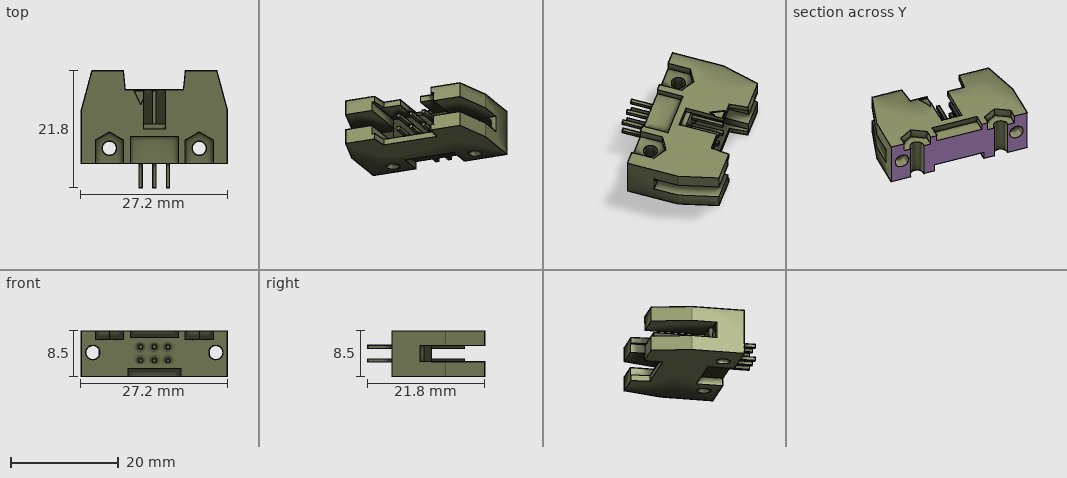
import cadquery as cq
import math

body_width = 27.2
body_length = 17.3
body_height = 8.5
half_width = body_width / 2
mid_height = body_height / 2

taper_start = 9.95
tip_outer = 11.62
tip_inner = 5.75
mouth_half_width = 5.4
mouth_floor = 13.77

cavity_half_width = 6.25
cavity_floor = 7.4
wall = 1.1

slot_height = 3.0
slot_floor = 5.25
slot_step_floor = 5.95
slot_step_half_width = 10.25

key_width = 4.06
key_floor = 6.4

mark_half_width = 1.21
mark_base = 13.5
mark_length = 2.55
mark_depth = 0.25

hole_diameter = 2.6
mount_spacing = 16.72
mount_offset = 2.85
nut_flats = 5.24
nut_depth = 1.63
nut_apex_slope = math.radians(30)
pivot_spacing = 22.86
pivot_height = 4.46

recess_length = 5.0
top_recess_width = 8.95
top_recess_depth = 1.2
bottom_recess_width = 9.85
bottom_recess_depth = 1.45

pin_size = 0.64
pin_pitch = 2.54
pin_columns = 3
pin_rows = 2
pin_tail = 4.5
pin_tip = 13.5


def block(x_range, y_range, z_range):
    """Axis-aligned box between pairs of limits."""
    size = [high - low for low, high in (x_range, y_range, z_range)]
    corner = (x_range[0], y_range[0], z_range[0])
    return cq.Workplane("XY").box(*size, centered=False).translate(corner)


def make_housing():
    right_side = [
        (half_width, 0),
        (half_width, taper_start),
        (tip_outer, body_length),
        (tip_inner, body_length),
        (mouth_half_width, mouth_floor),
    ]
    left_side = [(-x, y) for x, y in reversed(right_side)]
    return cq.Workplane("XY").polyline(right_side + left_side).close().extrude(body_height)


def make_cavity():
    return block(
        (-cavity_half_width, cavity_half_width),
        (cavity_floor, body_length),
        (wall, body_height - wall),
    )


def make_latch_slots():
    """Slot across the full width, stepping up on each side to the cavity floor."""
    right_side = [
        (half_width, body_length),
        (half_width, slot_floor),
        (slot_step_half_width, slot_floor),
        (slot_step_half_width, slot_step_floor),
        (cavity_half_width, slot_step_floor),
        (cavity_half_width, cavity_floor),
    ]
    left_side = [(-x, y) for x, y in reversed(right_side)]
    return (
        cq.Workplane("XY")
        .workplane(offset=mid_height - slot_height / 2)
        .polyline(right_side + left_side)
        .close()
        .extrude(slot_height)
    )


def make_key_slot():
    return block(
        (-key_width / 2, key_width / 2),
        (key_floor, body_length),
        (body_height - wall, body_height),
    )


def make_pin_one_mark():
    outline = [
        (-pin_pitch - mark_half_width, mark_base),
        (-pin_pitch + mark_half_width, mark_base),
        (-pin_pitch, mark_base - mark_length),
    ]
    return (
        cq.Workplane("XY")
        .workplane(offset=body_height - mark_depth)
        .polyline(outline)
        .close()
        .extrude(mark_depth)
    )


def make_mount(x):
    """Vertical hole with a hexagonal nut pocket open to the pin-side face."""
    hole = cq.Workplane("XY").center(x, mount_offset).circle(hole_diameter / 2).extrude(body_height)
    shoulder = mount_offset + nut_flats / 2 * math.tan(nut_apex_slope)
    apex = mount_offset + nut_flats / 2 / math.cos(nut_apex_slope)
    pocket = (
        cq.Workplane("XY")
        .workplane(offset=body_height - nut_depth)
        .moveTo(x - nut_flats / 2, 0)
        .lineTo(x + nut_flats / 2, 0)
        .lineTo(x + nut_flats / 2, shoulder)
        .lineTo(x, apex)
        .lineTo(x - nut_flats / 2, shoulder)
        .close()
        .extrude(nut_depth)
    )
    return hole.union(pocket)


def make_pivot_hole(x):
    """Hole along Y from the pin-side face into the latch slot."""
    return (
        cq.Workplane("XZ")
        .center(x, pivot_height)
        .circle(hole_diameter / 2)
        .extrude(-slot_floor)
    )


def make_face_recess(width, z_range):
    return block((-width / 2, width / 2), (0, recess_length), z_range)


def make_pins():
    return (
        cq.Workplane("XZ", origin=(0, -pin_tail, mid_height))
        .rarray(pin_pitch, pin_pitch, pin_columns, pin_rows)
        .rect(pin_size, pin_size)
        .extrude(-(pin_tail + pin_tip))
    )


result = make_housing()
result = result.cut(make_cavity())
result = result.cut(make_latch_slots())
result = result.cut(make_key_slot())
result = result.cut(make_pin_one_mark())
for side in (-1, 1):
    result = result.cut(make_mount(side * mount_spacing / 2))
    result = result.cut(make_pivot_hole(side * pivot_spacing / 2))
top_range = (body_height - top_recess_depth, body_height)
result = result.cut(make_face_recess(top_recess_width, top_range))
result = result.cut(make_face_recess(bottom_recess_width, (0, bottom_recess_depth)))
result = result.union(make_pins())